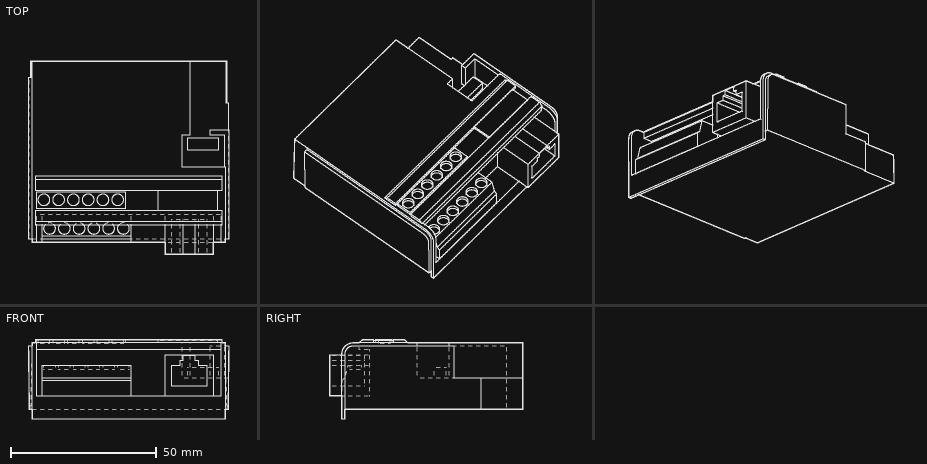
import cadquery as cq
import math


HALF_WIDTH = 33.2
BACK_Y = 62.35
TOP_Z = 26.25
BOTTOM_Z = 3.3
FRONT_RADIUS = 4.0
PLATE_THICKNESS = 1.1
BACK_BOTTOM_HALF_WIDTH = 33.75

CAP_TOP_HALF_WIDTH = 34.51
CAP_BOTTOM_HALF_WIDTH = 34.25
CAP_TOP_Z = TOP_Z - PLATE_THICKNESS
CAP_RADIUS = FRONT_RADIUS - PLATE_THICKNESS
LEFT_CAP_BACK_Y = 56.8
RIGHT_CAP_BACK_Y = 48.0

OPENING_HALF_WIDTH = 31.8
OPENING_BACK_Y = 9.65
SHELF_Z = 8.0
LIP_FRONT_Y = 6.0
LIP_BOTTOM_Z = 24.0

RAIL_HALF_WIDTH = 32.15
RAIL_TOP_Z = 27.35
RAIL_SLOPE_WIDTH = 1.2
FRONT_RAIL_BACK_Y = 11.05
BACK_RAIL_FRONT_Y = 17.9
BACK_RAIL_BACK_Y = 22.8

WINDOW_LEFT_X = 10.05
WINDOW_RIGHT_X = 30.45
WINDOW_TOP_Z = 27.1

TERMINAL_COUNT = 6
TERMINAL_PITCH = 5.08
TERMINAL_HOLE_DIAMETER = 4.0
TERMINAL_HOLE_DEPTH = 1.4
BLOCK_LENGTH = 30.6
UPPER_BLOCK_LEFT_X = -OPENING_HALF_WIDTH
UPPER_BLOCK_FRONT_Y = 11.65
UPPER_BLOCK_BACK_Y = 17.35
UPPER_HOLE_Y = 14.65
LOWER_BLOCK_LEFT_X = -29.85
LOWER_BLOCK_TOP_Z = 18.5
LOWER_BLOCK_TOP_FRONT_Y = 2.2
LOWER_BLOCK_FRONT_Y = 0.1
LOWER_BLOCK_STEP_Y = 1.1
LOWER_BLOCK_STEP_Z = 14.1
LOWER_BLOCK_FACE_TOP_Z = 13.25
LOWER_HOLE_Y = 4.8

JACK_CENTER_X = 20.8
JACK_WIDTH = 16.55
JACK_FRONT_Y = -4.12
JACK_TOP_Z = 22.1
JACK_CAVITY_DEPTH = 12.0
CAVITY_BOTTOM_Z = 11.3
CAVITY_WIDTH = 12.2
CAVITY_SHOULDER_Z = 18.5
CAVITY_NECK_WIDTH = 6.35
CAVITY_NECK_TOP_Z = 20.2
CAVITY_KEY_WIDTH = 4.15
CAVITY_TOP_Z = 21.85

NOTCH_FLOOR_Z = 14.1
NOTCH_LEFT_X = 21.1
NOTCH_FRONT_Y = 36.95
POCKET_LEFT_X = 18.3
POCKET_FRONT_Y = 25.9
POCKET_RIGHT_X = 33.0
POCKET_WALL_LEFT_X = 27.95
POCKET_WALL_BACK_Y = 38.6

SOCKET_LEFT_X = 20.25
SOCKET_RIGHT_X = 30.85
SOCKET_FRONT_Y = 31.75
SOCKET_BACK_Y = 35.85
SOCKET_TOP_Z = 17.7


def box(x0, x1, y0, y1, z0, z1):
    """Axis-aligned box between two opposite corners."""
    return cq.Workplane("XY").box(x1 - x0, y1 - y0, z1 - z0, centered=False).translate((x0, y0, z0))


def rounded_side(front_y, top_z, radius, half_width):
    """Side outline with a rounded upper front edge, extruded across the width."""
    diagonal = radius * math.sqrt(0.5)
    arc_y = front_y + radius
    arc_z = top_z - radius
    return (
        cq.Workplane("YZ")
        .moveTo(front_y, BOTTOM_Z)
        .lineTo(front_y, arc_z)
        .threePointArc((arc_y - diagonal, arc_z + diagonal), (arc_y, top_z))
        .lineTo(BACK_Y, top_z)
        .lineTo(BACK_Y, BOTTOM_Z)
        .close()
        .extrude(half_width, both=True)
    )


def drafted_block(top_half_width, bottom_half_width, top_z):
    """Full-length block whose side walls are drafted between the two half widths."""
    section = [
        (-bottom_half_width, BOTTOM_Z),
        (bottom_half_width, BOTTOM_Z),
        (top_half_width, top_z),
        (-top_half_width, top_z),
    ]
    return cq.Workplane("XZ").polyline(section).close().extrude(-BACK_Y)


def make_housing():
    """Housing block with its front plate, side caps and the drafted walls behind the caps."""
    housing = rounded_side(0, TOP_Z, FRONT_RADIUS, HALF_WIDTH)
    plate_foot = box(-HALF_WIDTH, HALF_WIDTH, 0, PLATE_THICKNESS, 0, SHELF_Z)
    housing = housing.union(plate_foot)

    cap_outline = rounded_side(PLATE_THICKNESS, CAP_TOP_Z, CAP_RADIUS, CAP_TOP_HALF_WIDTH)
    caps = drafted_block(CAP_TOP_HALF_WIDTH, CAP_BOTTOM_HALF_WIDTH, CAP_TOP_Z).intersect(cap_outline)
    back_walls = drafted_block(HALF_WIDTH, BACK_BOTTOM_HALF_WIDTH, TOP_Z)
    sides = [
        (-CAP_TOP_HALF_WIDTH, 0, LEFT_CAP_BACK_Y),
        (0, CAP_TOP_HALF_WIDTH, RIGHT_CAP_BACK_Y),
    ]
    for left_x, right_x, cap_back_y in sides:
        cap = caps.intersect(box(left_x, right_x, 0, cap_back_y, BOTTOM_Z, TOP_Z))
        back_wall = back_walls.intersect(box(left_x, right_x, cap_back_y, BACK_Y, BOTTOM_Z, TOP_Z))
        housing = housing.union(cap).union(back_wall)
    return housing


def cut_front_opening(body):
    """Open the front above the shelf, leaving a lip over its rear part."""
    under_lip = box(
        -OPENING_HALF_WIDTH, OPENING_HALF_WIDTH, 0, OPENING_BACK_Y, SHELF_Z, LIP_BOTTOM_Z
    )
    ahead_of_lip = box(-OPENING_HALF_WIDTH, OPENING_HALF_WIDTH, 0, LIP_FRONT_Y, SHELF_Z, TOP_Z)
    return body.cut(under_lip).cut(ahead_of_lip)


def cut_notch_and_pocket(body):
    """Lower the back right corner, leaving an L-shaped wall around the pocket."""
    notch = box(NOTCH_LEFT_X, CAP_TOP_HALF_WIDTH, NOTCH_FRONT_Y, BACK_Y, NOTCH_FLOOR_Z, TOP_Z)
    corner_wall = box(
        POCKET_WALL_LEFT_X, CAP_TOP_HALF_WIDTH, NOTCH_FRONT_Y, POCKET_WALL_BACK_Y, NOTCH_FLOOR_Z, CAP_TOP_Z
    )
    pocket = box(
        POCKET_LEFT_X, POCKET_RIGHT_X, POCKET_FRONT_Y, NOTCH_FRONT_Y, NOTCH_FLOOR_Z, TOP_Z
    )
    above_side_wall = box(
        POCKET_RIGHT_X, HALF_WIDTH, POCKET_FRONT_Y, NOTCH_FRONT_Y, CAP_TOP_Z, TOP_Z
    )
    wall = body.intersect(corner_wall)
    return body.cut(notch).cut(pocket).cut(above_side_wall).union(wall)


def make_socket():
    """Socket block on the pocket floor."""
    return box(
        SOCKET_LEFT_X, SOCKET_RIGHT_X, SOCKET_FRONT_Y, SOCKET_BACK_Y, NOTCH_FLOOR_Z, SOCKET_TOP_Z
    )


def make_rail(flat_edge_y, sloped_edge_y, sloped_inset_y):
    """Rail across the top face with one long side sloped from its base to the inset edge."""
    profile = [
        (flat_edge_y, TOP_Z),
        (sloped_edge_y, TOP_Z),
        (sloped_inset_y, RAIL_TOP_Z),
        (flat_edge_y, RAIL_TOP_Z),
    ]
    return cq.Workplane("YZ").polyline(profile).close().extrude(RAIL_HALF_WIDTH, both=True)


def drill_terminals(block, left_x, hole_y, top_z):
    """Drill the row of blind screw holes, centred along the block."""
    row_length = (TERMINAL_COUNT - 1) * TERMINAL_PITCH
    first_x = left_x + (BLOCK_LENGTH - row_length) / 2
    for index in range(TERMINAL_COUNT):
        hole = (
            cq.Workplane("XY", origin=(first_x + index * TERMINAL_PITCH, hole_y, top_z))
            .circle(TERMINAL_HOLE_DIAMETER / 2)
            .extrude(-TERMINAL_HOLE_DEPTH)
        )
        block = block.cut(hole)
    return block


def make_lower_block():
    """Terminal block on the shelf with a stepped, sloping front."""
    profile = [
        (LOWER_BLOCK_FRONT_Y, SHELF_Z),
        (LOWER_BLOCK_FRONT_Y, LOWER_BLOCK_FACE_TOP_Z),
        (LOWER_BLOCK_STEP_Y, LOWER_BLOCK_STEP_Z),
        (LOWER_BLOCK_TOP_FRONT_Y, LOWER_BLOCK_TOP_Z),
        (OPENING_BACK_Y, LOWER_BLOCK_TOP_Z),
        (OPENING_BACK_Y, SHELF_Z),
    ]
    outline = cq.Workplane("YZ", origin=(LOWER_BLOCK_LEFT_X, 0, 0)).polyline(profile).close()
    block = outline.extrude(BLOCK_LENGTH)
    return drill_terminals(block, LOWER_BLOCK_LEFT_X, LOWER_HOLE_Y, LOWER_BLOCK_TOP_Z)


def make_jack():
    """Modular jack with a stepped keyway in the top of its cavity."""
    jack = box(
        JACK_CENTER_X - JACK_WIDTH / 2, JACK_CENTER_X + JACK_WIDTH / 2,
        JACK_FRONT_Y, OPENING_BACK_Y, SHELF_Z, JACK_TOP_Z,
    )
    steps = [
        (CAVITY_WIDTH, CAVITY_SHOULDER_Z),
        (CAVITY_NECK_WIDTH, CAVITY_NECK_TOP_Z),
        (CAVITY_KEY_WIDTH, CAVITY_TOP_Z),
    ]
    for width, top_z in steps:
        jack = jack.cut(box(
            JACK_CENTER_X - width / 2, JACK_CENTER_X + width / 2,
            JACK_FRONT_Y, JACK_FRONT_Y + JACK_CAVITY_DEPTH, CAVITY_BOTTOM_Z, top_z,
        ))
    return jack


def add_upper_block(body):
    """Add the terminal block between the rails; its holes run on into the housing top."""
    block = box(
        UPPER_BLOCK_LEFT_X, UPPER_BLOCK_LEFT_X + BLOCK_LENGTH,
        UPPER_BLOCK_FRONT_Y, UPPER_BLOCK_BACK_Y, TOP_Z, RAIL_TOP_Z,
    )
    return drill_terminals(body.union(block), UPPER_BLOCK_LEFT_X, UPPER_HOLE_Y, RAIL_TOP_Z)


def make_window():
    """Low raised window spanning the gap between the rails."""
    return box(
        WINDOW_LEFT_X, WINDOW_RIGHT_X, FRONT_RAIL_BACK_Y, BACK_RAIL_FRONT_Y, TOP_Z, WINDOW_TOP_Z
    )


module = cut_notch_and_pocket(cut_front_opening(make_housing()))
module = module.union(make_rail(FRONT_RAIL_BACK_Y, LIP_FRONT_Y, LIP_FRONT_Y + RAIL_SLOPE_WIDTH))
module = module.union(make_rail(BACK_RAIL_FRONT_Y, BACK_RAIL_BACK_Y, BACK_RAIL_BACK_Y - RAIL_SLOPE_WIDTH))
module = module.union(make_window()).union(make_socket())
module = add_upper_block(module)
result = module.union(make_lower_block()).union(make_jack())